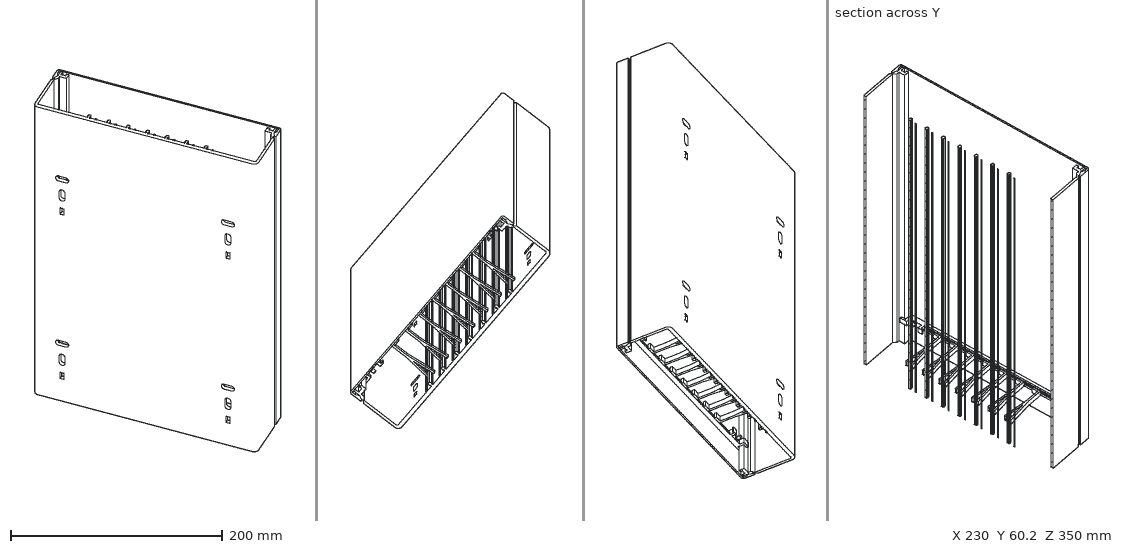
import cadquery as cq

WIDTH = 230.0
DEPTH = 60.2
LENGTH = 350.0
HALF_WIDTH = WIDTH / 2

FLOOR_THICKNESS = 4.2
WALL_THICKNESS = 2.8
FLOOR_CORNER_RADIUS = 5.0
INNER_CORNER_RADIUS = 1.5
SHOULDER_DEPTH = 17.0
LIP_FOOT_DEPTH = 14.7
FLANGE_DEPTH = 13.5

LIP_INNER = 6.0
LIP_CHAMFER_DEPTH = 12.5
LIP_CHAMFER = LIP_INNER - WALL_THICKNESS
LEDGE_TOP_DEPTH = 6.3
LEDGE_BOTTOM_DEPTH = 9.8
LEDGE_HOOK_INSET = 10.5
LEDGE_HOOK_WIDTH = 2.5
LEDGE_HOOK_TOP_DEPTH = 4.0

LID_THICKNESS = 1.8
LID_EDGE_RADIUS = 2.5
FLANGE_THICKNESS = 2.0
BARB_REACH = 1.8
BARB_HALF_HEIGHT = 3.5
BARB_DEPTH = 9.0

SLOT_X = HALF_WIDTH - 29.8
SLOT_GROUP_HEIGHTS = (50.5, 250.2)
SLOT_LENGTH = 13.3
SLOT_WIDTH = 6.0
SMALL_SLOT_LENGTH = 7.5
SMALL_SLOT_WIDTH = 4.0
SLOT_PITCH = 19.5

DIVIDER_COUNT = 7
DIVIDER_SPAN = 120.0
DIVIDER_PITCH = DIVIDER_SPAN / (DIVIDER_COUNT - 1)
RAIL_HEIGHT = 4.2
RAIL_STEM = 2.0
RAIL_HEAD = 3.5
RAIL_HEAD_HEIGHT = 2.5
RIB_OFFSET = 7.7
RIB_WIDTH = 1.5
RIB_HEIGHT = 1.0
STEM_WIDTH = 2.0
LEG_SPLIT_DEPTH = 25.2
CROTCH_DEPTH = 33.2
FOOT_DEPTH = DEPTH - FLOOR_THICKNESS
FOOT_WIDTH = 8.8
FOOT_GAP = 5.0
TAB_LENGTH = 7.7
TAB_THICKNESS = 2.5

BRACKET_Z = SLOT_GROUP_HEIGHTS[0] - SLOT_PITCH
BRACKET_THICKNESS = 5.5
HOOK_LEG_INSET = 14.5
HOOK_LEG_WIDTH = 2.8
TOE_INSET = 9.5
TOE_TOP_DEPTH = 10.0
BRACKET_LEG_DEPTH = 12.2
OVERLAP_DEPTH = 4.0
BLOCK_DEPTH = 7.5
INNER_LEG_INSET = 31.0
INNER_LEG_WIDTH = 2.8
INNER_TOE = 2.0
INNER_TOE_THICKNESS = 1.5
PLATE_DEPTH = 5.0
STEP_DEPTHS = (PLATE_DEPTH, 6.0, 7.0)
STEP_HEIGHTS = (3.5, 2.5)
BAND_DEPTH = STEP_DEPTHS[-1]
PEG_INSET = 22.8
PEG_RADIUS = 1.8
PEG_COLLAR_RADIUS = 2.5
PEG_COLLAR_DEPTH = 8.5

DIVIDER_POSITIONS = [i * DIVIDER_PITCH - DIVIDER_SPAN / 2 for i in range(DIVIDER_COUNT)]


def at(inset, depth):
    """Point on the left half: inset from the left side, depth from the lid face."""
    return (inset - HALF_WIDTH, DEPTH - depth)


def prism(points, length=LENGTH, base=0.0):
    return cq.Workplane("XY", origin=(0, 0, base)).polyline(points).close().extrude(length)


def box(x_min, x_max, y_min, y_max, length=LENGTH, base=0.0):
    return prism([(x_min, y_min), (x_max, y_min), (x_max, y_max), (x_min, y_max)], length, base)


def with_mirror(half):
    return half.union(half.mirror("YZ"))


def rail(x):
    floor = FLOOR_THICKNESS
    tip = floor + RAIL_HEIGHT
    stem = box(x - RAIL_STEM / 2, x + RAIL_STEM / 2, floor, tip)
    head = prism([
        (x - RAIL_HEAD / 2, tip - RAIL_HEAD_HEIGHT),
        (x + RAIL_HEAD / 2, tip - RAIL_HEAD_HEIGHT),
        (x + RAIL_STEM / 2, tip),
        (x - RAIL_STEM / 2, tip),
    ])
    rib_x = x + RIB_OFFSET
    rib = box(rib_x - RIB_WIDTH / 2, rib_x + RIB_WIDTH / 2, floor, floor + RIB_HEIGHT)
    return stem.union(head).union(rib)


def floor_slots():
    def plane_at(x, z):
        return cq.Workplane("XZ", origin=(x, FLOOR_THICKNESS, z))

    profiles = []
    for z in SLOT_GROUP_HEIGHTS:
        for x in (-SLOT_X, SLOT_X):
            profiles += [
                plane_at(x, z + SLOT_PITCH).slot2D(SLOT_LENGTH, SLOT_WIDTH),
                plane_at(x, z).slot2D(SLOT_LENGTH, SLOT_WIDTH, 90),
                plane_at(x, z - SLOT_PITCH).rect(SMALL_SLOT_WIDTH, SMALL_SLOT_LENGTH),
            ]
    return [profile.extrude(FLOOR_THICKNESS) for profile in profiles]


def make_trough():
    outer = box(-HALF_WIDTH, HALF_WIDTH, 0, DEPTH - SHOULDER_DEPTH)
    outer = outer.edges("|Z and <Y").fillet(FLOOR_CORNER_RADIUS)
    cavity = box(WALL_THICKNESS - HALF_WIDTH, HALF_WIDTH - WALL_THICKNESS, FLOOR_THICKNESS, DEPTH)
    cavity = cavity.edges("|Z and <Y").fillet(INNER_CORNER_RADIUS)
    trough = outer.cut(cavity)
    hook_end = LEDGE_HOOK_INSET + LEDGE_HOOK_WIDTH
    lip = prism([
        at(0, SHOULDER_DEPTH),
        at(FLANGE_THICKNESS, LIP_FOOT_DEPTH),
        at(FLANGE_THICKNESS, BARB_DEPTH + BARB_HALF_HEIGHT),
        at(FLANGE_THICKNESS + BARB_REACH, BARB_DEPTH),
        at(FLANGE_THICKNESS + BARB_REACH, LID_THICKNESS),
        at(LIP_INNER, LID_THICKNESS),
        at(LIP_INNER, LEDGE_TOP_DEPTH),
        at(LEDGE_HOOK_INSET, LEDGE_TOP_DEPTH),
        at(LEDGE_HOOK_INSET, LEDGE_HOOK_TOP_DEPTH),
        at(hook_end, LEDGE_HOOK_TOP_DEPTH),
        at(hook_end, LEDGE_BOTTOM_DEPTH),
        at(LIP_INNER, LEDGE_BOTTOM_DEPTH),
        at(LIP_INNER, LIP_CHAMFER_DEPTH),
        at(WALL_THICKNESS, LIP_CHAMFER_DEPTH + LIP_CHAMFER),
        at(WALL_THICKNESS, SHOULDER_DEPTH),
    ])
    trough = trough.union(with_mirror(lip))
    for x in DIVIDER_POSITIONS:
        trough = trough.union(rail(x))
    for cut in floor_slots():
        trough = trough.cut(cut)
    return trough


def make_lid():
    plate = box(-HALF_WIDTH, HALF_WIDTH, DEPTH - FLANGE_DEPTH, DEPTH)
    plate = plate.edges("|Z and >Y").fillet(LID_EDGE_RADIUS)
    inside = box(FLANGE_THICKNESS - HALF_WIDTH, HALF_WIDTH - FLANGE_THICKNESS, 0, DEPTH - LID_THICKNESS)
    barb = prism([
        at(FLANGE_THICKNESS, BARB_DEPTH + BARB_HALF_HEIGHT),
        at(FLANGE_THICKNESS + BARB_REACH, BARB_DEPTH),
        at(FLANGE_THICKNESS, BARB_DEPTH - BARB_HALF_HEIGHT),
    ])
    return plate.cut(inside).union(with_mirror(barb))


def peg():
    def pin(radius, bottom_depth):
        top_plane = cq.Workplane("XZ", origin=(PEG_INSET - HALF_WIDTH, DEPTH - BLOCK_DEPTH, BRACKET_Z))
        return top_plane.circle(radius).extrude(bottom_depth - BLOCK_DEPTH)

    return pin(PEG_RADIUS, BRACKET_LEG_DEPTH).union(pin(PEG_COLLAR_RADIUS, PEG_COLLAR_DEPTH))


def make_bracket():
    base = BRACKET_Z - BRACKET_THICKNESS / 2
    hook_leg_end = HOOK_LEG_INSET + HOOK_LEG_WIDTH
    inner_leg_end = INNER_LEG_INSET + INNER_LEG_WIDTH
    half = prism([
        at(LIP_INNER, LID_THICKNESS),
        at(LIP_INNER, OVERLAP_DEPTH),
        at(HOOK_LEG_INSET, OVERLAP_DEPTH),
        at(HOOK_LEG_INSET, TOE_TOP_DEPTH),
        at(TOE_INSET, TOE_TOP_DEPTH),
        at(TOE_INSET, BRACKET_LEG_DEPTH),
        at(hook_leg_end, BRACKET_LEG_DEPTH),
        at(hook_leg_end, BLOCK_DEPTH),
        at(INNER_LEG_INSET, BLOCK_DEPTH),
        at(INNER_LEG_INSET, BRACKET_LEG_DEPTH),
        at(inner_leg_end + INNER_TOE, BRACKET_LEG_DEPTH),
        at(inner_leg_end + INNER_TOE, BRACKET_LEG_DEPTH - INNER_TOE_THICKNESS),
        at(inner_leg_end, BRACKET_LEG_DEPTH - INNER_TOE_THICKNESS),
        at(inner_leg_end, PLATE_DEPTH),
        at(HALF_WIDTH, PLATE_DEPTH),
        at(HALF_WIDTH, LID_THICKNESS),
    ], BRACKET_THICKNESS, base)
    bracket = with_mirror(half.union(peg()))
    bar_half_length = HALF_WIDTH - inner_leg_end
    for top, bottom, height in zip(STEP_DEPTHS, STEP_DEPTHS[1:], STEP_HEIGHTS):
        step = box(-bar_half_length, bar_half_length, DEPTH - bottom, DEPTH - top, height, base)
        bracket = bracket.union(step)
    return bracket


def make_divider(x):
    def point(offset, depth):
        return (x + offset, DEPTH - depth)

    stem = STEM_WIDTH / 2
    foot = FOOT_WIDTH / 2
    gap = FOOT_GAP / 2
    return prism([
        point(stem, BAND_DEPTH),
        point(stem, LEG_SPLIT_DEPTH),
        point(foot, FOOT_DEPTH),
        point(gap, FOOT_DEPTH),
        point(0, CROTCH_DEPTH),
        point(-gap, FOOT_DEPTH),
        point(-foot, FOOT_DEPTH),
        point(-stem, LEG_SPLIT_DEPTH),
        point(-stem, BAND_DEPTH + TAB_THICKNESS),
        point(-TAB_LENGTH, BAND_DEPTH + TAB_THICKNESS),
        point(-TAB_LENGTH, BAND_DEPTH),
    ], BRACKET_THICKNESS, BRACKET_Z - BRACKET_THICKNESS / 2)


trough = make_trough()
lid = make_lid()
bracket = make_bracket()
dividers = [make_divider(x).val() for x in DIVIDER_POSITIONS]
result = cq.Compound.makeCompound([trough.val(), lid.val(), bracket.val(), *dividers])